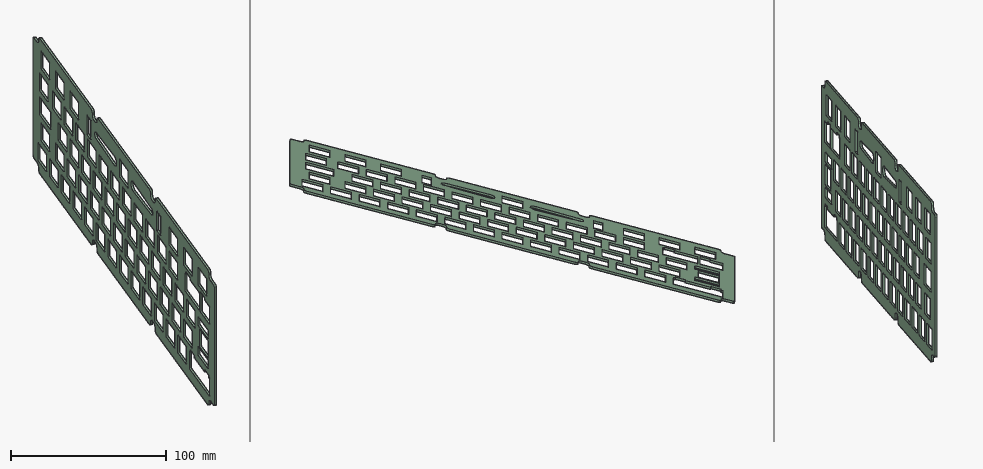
import cadquery as cq

LENGTH = 296.7
HEIGHT = 107.7
THICKNESS = 1.5

OUTER_KEY_SPAN = 257.2
OUTER_KEY_COLUMN = 6.75
PITCH = OUTER_KEY_SPAN / (2 * OUTER_KEY_COLUMN)
TOP_ROW = 2
KEY_SIZE = 14.0
CORNER_RADIUS = 0.45

NOTCH_COLUMNS = (-7.5, -2.5, 2.5, 7.5)
NOTCH_DEPTH = 6.0
NOTCH_WIDTH = 7.5
NOTCH_FLOOR_RADIUS = 2.7
NOTCH_MOUTH_RADIUS = 2.0
PLATE_END_RADIUS = 1.5

STABILIZER_OFFSET = 12.0
STABILIZER_WIDTH = 6.8
STABILIZER_RISE = 1.8
STABILIZER_LENGTH = 16.3

SLOT_OUTER_X = 45.0
SLOT_OUTER_RADIUS = 2.5
SLOT_INNER_X = 15.5
SLOT_INNER_RADIUS = 3.5
WINDOW_COLUMN = 3
WINDOW_WIDTH = 6.2
WINDOW_HEIGHT = 15.0
WINDOW_DROP = 1.5


def columns(first, count):
    """Evenly pitched key columns."""
    return [first + i for i in range(count)]


KEY_ROWS = {
    TOP_ROW: [-OUTER_KEY_COLUMN, -5.5, -4.25, 0, 4.25, 5.5, OUTER_KEY_COLUMN],
    1: [-6.875] + columns(-5.75, 11) + [7],
    0: columns(-5.25, 12),
    -1: [-OUTER_KEY_COLUMN] + columns(-5.5, 12),
    -2: columns(-7, 13),
}

LONG_KEYS = [(-6.875, -6.625, 0), (5.625, 6.125, 1), (6, 7, -2)]

STABILIZED_KEYS = [(6.125, 1), (6.5, -2)]
UPRIGHT_KEY = (6.875, -0.5)


def box(x_min, x_max, z_min, z_max):
    """Block through the thickness of the plate."""
    return cq.Workplane("XY").box(x_max - x_min, THICKNESS, z_max - z_min).translate(
        ((x_min + x_max) / 2, 0, (z_min + z_max) / 2)
    )


def rounded_opening(x_min, x_max, z_min, z_max):
    """Rectangular opening with slightly rounded corners."""
    return box(x_min, x_max, z_min, z_max).edges("|Y").fillet(CORNER_RADIUS)


def key_opening(first_column, last_column, row):
    """Opening that takes a key at any place between two columns."""
    half = KEY_SIZE / 2
    x_min = first_column * PITCH - half
    x_max = last_column * PITCH + half
    return rounded_opening(x_min, x_max, row * PITCH - half, row * PITCH + half)


def stabilizer_pair(column, row):
    """Two upright openings, one on each side of a wide key."""
    half_width = STABILIZER_WIDTH / 2
    z_min = row * PITCH - KEY_SIZE / 2
    z_max = row * PITCH + KEY_SIZE / 2 + STABILIZER_RISE
    openings = []
    for side in (-1, 1):
        x = column * PITCH + side * STABILIZER_OFFSET
        openings.append(rounded_opening(x - half_width, x + half_width, z_min, z_max))
    return openings


def upright_key(column, row):
    """Key opening with a stabilizer opening above and below it, flush on the right."""
    half_width = STABILIZER_WIDTH / 2
    x_max = column * PITCH + KEY_SIZE / 2
    openings = [key_opening(column, column, row)]
    for side in (-1, 1):
        z = row * PITCH + side * STABILIZER_OFFSET
        openings.append(rounded_opening(x_max - STABILIZER_LENGTH, x_max, z - half_width, z + half_width))
    return openings


def tapered_slot(side):
    """Slot with round ends, wider towards the middle of the plate."""
    row_z = TOP_ROW * PITCH
    span = SLOT_OUTER_X - SLOT_INNER_X
    lean = (SLOT_INNER_RADIUS - SLOT_OUTER_RADIUS) / span
    rise = (1 - lean**2) ** 0.5

    def tangent_point(x, radius, direction):
        return (side * (x + radius * lean), row_z + direction * radius * rise)

    return (
        cq.Workplane("XZ", origin=(0, THICKNESS / 2, 0))
        .moveTo(*tangent_point(SLOT_OUTER_X, SLOT_OUTER_RADIUS, -1))
        .threePointArc(
            (side * (SLOT_OUTER_X + SLOT_OUTER_RADIUS), row_z),
            tangent_point(SLOT_OUTER_X, SLOT_OUTER_RADIUS, 1),
        )
        .lineTo(*tangent_point(SLOT_INNER_X, SLOT_INNER_RADIUS, 1))
        .threePointArc(
            (side * (SLOT_INNER_X - SLOT_INNER_RADIUS), row_z),
            tangent_point(SLOT_INNER_X, SLOT_INNER_RADIUS, -1),
        )
        .close()
        .extrude(THICKNESS)
    )


def window(side):
    """Upright rectangular opening in the top row."""
    x = side * WINDOW_COLUMN * PITCH
    z = TOP_ROW * PITCH - WINDOW_DROP
    return box(x - WINDOW_WIDTH / 2, x + WINDOW_WIDTH / 2, z - WINDOW_HEIGHT / 2, z + WINDOW_HEIGHT / 2)


def edge_notch(column):
    """Notch in the upper long edge with a rounded floor; the outer ones run on past the plate end."""
    x = column * PITCH
    floor_z = HEIGHT / 2 - NOTCH_DEPTH
    notch = box(x - NOTCH_WIDTH / 2, x + NOTCH_WIDTH / 2, floor_z, HEIGHT / 2)
    notch = notch.edges("|Y and <Z").fillet(NOTCH_FLOOR_RADIUS)
    if column == max(NOTCH_COLUMNS):
        notch = notch.union(box(x, LENGTH / 2, floor_z, HEIGHT / 2))
    if column == min(NOTCH_COLUMNS):
        notch = notch.union(box(-LENGTH / 2, x, floor_z, HEIGHT / 2))
    return notch


def blank_plate():
    """Plate with notches along both long edges and rounded outer corners."""
    plate = box(-LENGTH / 2, LENGTH / 2, -HEIGHT / 2, HEIGHT / 2)
    for column in NOTCH_COLUMNS:
        notch = edge_notch(column)
        plate = plate.cut(notch).cut(notch.mirror("XY"))
    plate = plate.edges("|Y and (<Z or >Z)").fillet(NOTCH_MOUTH_RADIUS)
    return plate.edges("|Y and (<X or >X)").fillet(PLATE_END_RADIUS)


openings = [key_opening(column, column, row) for row in KEY_ROWS for column in KEY_ROWS[row]]
for first_column, last_column, row in LONG_KEYS:
    openings.append(key_opening(first_column, last_column, row))
for column, row in STABILIZED_KEYS:
    openings += stabilizer_pair(column, row)
openings += upright_key(*UPRIGHT_KEY)
for side in (-1, 1):
    openings.append(tapered_slot(side))
    openings.append(window(side))

all_openings = [opening.val() for opening in openings]
result = cq.Workplane(blank_plate().val().cut(*all_openings))